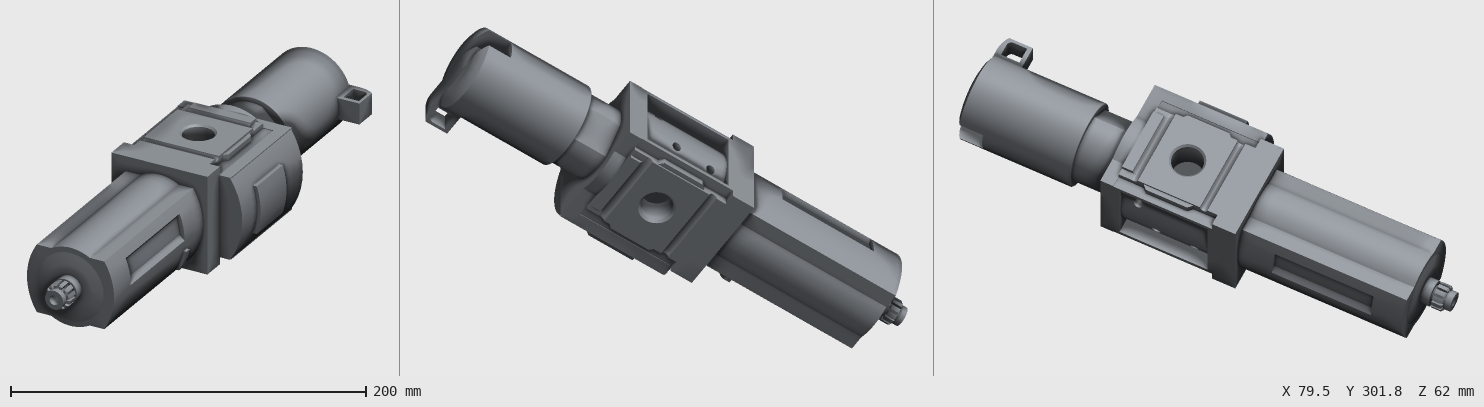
import cadquery as cq
import math


HOUSING_SIDE = 62.0
HALF_SIDE = HOUSING_SIDE / 2
OVERALL_WIDTH = 79.5
COLLAR_LENGTH = 14.5
CORE_HALF_HEIGHT = 26.0
CORE_RIGHT = 38.3
LEDGE_DEPTH = 0.45
HOUSING_END = 84.8
CAP_LENGTH = 8.0
CAP_RADIUS = 30.2
CAP_START = HOUSING_END - CAP_LENGTH

PLATE_HALF_WIDTH = 24.0
GROOVE_DEPTH = 2.5
GROOVES = [(64.5, 70.0), (20.8, 25.7)]
TONGUE_HALF_WIDTH = 20.0
CORNER_DROP = 2.25
TAB_REACH = 2.7
TAB_DROP = 1.2
TAB_LENGTH = 31.5
PORT_Y = 45.3
PORT_DIAMETER = 18.7
PORT_CHAMFER = 1.2
PORT_DEPTH = 18.0

RECESS_START = 17.5
RECESS_END = 72.7
RECESS_HALF_HEIGHT = 23.0
RECESS_CROWN = 1.5
RECESS_FLOOR_RADIUS = 32.3
RECESS_HOLE_DIAMETER = 5.5
RECESS_HOLE_DEPTH = 9.0
RECESS_HOLES = [(62.8, 11.5), (51.0, -8.8), (27.5, -11.2)]

COVER_RADIUS = 46.0
COVER_START = 13.5
COVER_END = 84.0
BUTTON_RADIUS = OVERALL_WIDTH - HALF_SIDE
BUTTON_LENGTH = 30.2
BUTTON_HALF_HEIGHT = 15.0

NECK_DIAMETER = 44.5
NECK_ACROSS_FLATS = 39.5
KNOB_START = 107.2
KNOB_END = 179.5
KNOB_DIAMETER = 51.0
KNOB_LIP_FILLET = 0.5
DOME_HEIGHT = 3.0
DOME_RUN = 9.7

SLOT_WIDTH = 15.0
SLIDE_WIDTH = 13.3
SLIDE_START = 161.8
SLIDE_TRAVEL = 13.5
EYE_SIDE_WALL = 1.8
EYE_BASE_WALL = 2.7
EYE_TOP_WALL = 3.5
EYE_FILLET = 3.0

BOWL_LENGTH = 103.2
BOWL_ROUND_RADIUS = 24.8
BOWL_FLAT_HEIGHT = 21.5
BOWL_CORNER_X = 21.7
BOWL_HALF_WIDTH = 28.0
BOWL_END_RADIUS = 21.5
BOWL_BOSS_RADIUS = 11.5
BOWL_CROWN_HEIGHT = 1.2
BOWL_CROWN_BULGE = 1.05
WINDOW_START = 21.5
WINDOW_END = 84.0
WINDOW_TOP = 16.0
WINDOW_BOTTOM = -0.5
WINDOW_TAPER = 3.0
WINDOW_DEPTH = 3.0
WINDOW_FLOOR_TOP_X = 23.0
LATCH_START = 17.8
LATCH_END = 21.5
LATCH_TOP = -7.2
LATCH_BOTTOM = -20.2
LATCH_HEIGHT = 2.0

NOZZLE_END = -122.3
NOZZLE_BORE_DIAMETER = 6.0
NOZZLE_BORE_DEPTH = 9.0
NOZZLE_RADIUS = 7.8
NOZZLE_NECK_RADIUS = 5.5
NOZZLE_TIP_RADIUS = 11.8 / 2
NOZZLE_SHANK_END = -110.0
NOZZLE_RING_START = -111.5
NOZZLE_RING_END = -118.0
NOZZLE_TIP_START = -119.0
NOZZLE_RING_CHAMFER = 1.0
NOZZLE_SLOTS = 12
NOZZLE_SLOT_WIDTH = 1.5


def block(x_range, y_range, z_range):
    """Box between the given limits along X, Y and Z."""
    low, high = zip(x_range, y_range, z_range)
    size = [b - a for a, b in zip(low, high)]
    return cq.Workplane("XY").box(*size, centered=False).translate(low)


def section(y):
    """Workplane across the axis at y; local coordinates are X and Z, extruding toward -Y."""
    return cq.Workplane("XZ", origin=(0, y, 0))


def rod(radius, y_start, y_end):
    """Round rod about the Y axis."""
    return section(y_end).circle(radius).extrude(y_end - y_start)


def mirrored_below(shape):
    """Mirror image of a shape on the -Z side."""
    return shape.mirror("XY")


def side_ledge():
    """Thin layer removed from the +Z side of the core around the port plate."""
    return block(
        (-HALF_SIDE, HALF_SIDE),
        (COLLAR_LENGTH, CAP_START),
        (CORE_HALF_HEIGHT - LEDGE_DEPTH, CORE_HALF_HEIGHT),
    )


def port_plate():
    """Raised plate on the +Z side with two grooves, a tongue and side tabs."""
    plate = block(
        (-PLATE_HALF_WIDTH, PLATE_HALF_WIDTH),
        (COLLAR_LENGTH, CAP_START),
        (CORE_HALF_HEIGHT - LEDGE_DEPTH, HALF_SIDE),
    )
    for corner_x in (-PLATE_HALF_WIDTH, TONGUE_HALF_WIDTH):
        plate = plate.cut(block(
            (corner_x, corner_x + PLATE_HALF_WIDTH - TONGUE_HALF_WIDTH),
            (sum(GROOVES[0]) / 2, CAP_START),
            (HALF_SIDE - CORNER_DROP, HALF_SIDE),
        ))
    for low, high in GROOVES:
        groove = (
            cq.Workplane("YZ", origin=(-PLATE_HALF_WIDTH, 0, 0))
            .moveTo(low, HALF_SIDE)
            .threePointArc(((low + high) / 2, HALF_SIDE - GROOVE_DEPTH), (high, HALF_SIDE))
            .close()
            .extrude(2 * PLATE_HALF_WIDTH)
        )
        plate = plate.cut(groove)
    tab_width = 2 * (PLATE_HALF_WIDTH + TAB_REACH)
    tabs = (
        cq.Workplane("XY", origin=(0, PORT_Y, HALF_SIDE - TAB_DROP))
        .rect(tab_width, TAB_LENGTH)
        .extrude(CORE_HALF_HEIGHT - LEDGE_DEPTH - HALF_SIDE + TAB_DROP)
        .edges("|Z")
        .chamfer(TAB_REACH)
    )
    return plate.union(tabs)


def port():
    """Blind port with a chamfered mouth, opening on the +Z side."""
    return (
        cq.Workplane("XY", origin=(0, PORT_Y, HALF_SIDE - PORT_DEPTH))
        .circle(PORT_DIAMETER / 2)
        .extrude(PORT_DEPTH)
        .union(
            cq.Workplane("XY", origin=(0, PORT_Y, HALF_SIDE))
            .circle(PORT_DIAMETER / 2 + PORT_CHAMFER)
            .workplane(offset=-PORT_CHAMFER)
            .circle(PORT_DIAMETER / 2)
            .loft()
        )
    )


def side_recess():
    """Recess in the -X side with a crowned floor and three blind holes."""
    opening = block(
        (-HALF_SIDE, 0),
        (RECESS_START, RECESS_END),
        (-RECESS_HALF_HEIGHT, RECESS_HALF_HEIGHT),
    )
    crown_x = -HALF_SIDE + RECESS_CROWN
    crown = (
        section(RECESS_END)
        .center(crown_x + RECESS_FLOOR_RADIUS, 0)
        .circle(RECESS_FLOOR_RADIUS)
        .extrude(RECESS_END - RECESS_START)
    )
    recess = opening.cut(crown)
    for y, z in RECESS_HOLES:
        hole = (
            cq.Workplane("YZ", origin=(-HALF_SIDE, y, z))
            .circle(RECESS_HOLE_DIAMETER / 2)
            .extrude(RECESS_HOLE_DEPTH)
        )
        recess = recess.union(hole)
    return recess


def cover_shell(radius, half_height, y_start, y_end):
    """Slab on the +X side whose outer face is rounded about the axis."""
    slab = block((0, radius), (y_start, y_end), (-half_height, half_height))
    return slab.intersect(rod(radius, y_start, y_end))


def housing():
    core = block(
        (-HALF_SIDE, CORE_RIGHT),
        (COLLAR_LENGTH, HOUSING_END),
        (-CORE_HALF_HEIGHT, CORE_HALF_HEIGHT),
    )
    collar = section(COLLAR_LENGTH).rect(HOUSING_SIDE, HOUSING_SIDE).extrude(COLLAR_LENGTH)
    cover = cover_shell(COVER_RADIUS, CORE_HALF_HEIGHT, COVER_START, COVER_END)
    button = cover_shell(
        BUTTON_RADIUS,
        BUTTON_HALF_HEIGHT,
        PORT_Y - BUTTON_LENGTH / 2,
        PORT_Y + BUTTON_LENGTH / 2,
    )
    solid = core.union(collar).union(cover).union(button)
    solid = solid.union(rod(CAP_RADIUS, CAP_START, HOUSING_END))
    for ledge in (side_ledge(), mirrored_below(side_ledge())):
        solid = solid.cut(ledge)
    for feature in (port_plate(), mirrored_below(port_plate())):
        solid = solid.union(feature)
    for feature in (port(), mirrored_below(port()), side_recess()):
        solid = solid.cut(feature)
    return solid


def neck():
    """Round neck with two parallel flats at 45 degrees."""
    length = KNOB_START - HOUSING_END
    flats = (
        section(KNOB_START)
        .rect(NECK_ACROSS_FLATS, NECK_DIAMETER)
        .extrude(length)
        .rotate((0, 0, 0), (0, 1, 0), -45)
    )
    return rod(NECK_DIAMETER / 2, HOUSING_END, KNOB_START).intersect(flats)


def domed_half_profile(bottom):
    """Half outline of the knob, from the axis out to the rim with a rounded shoulder."""
    radius = KNOB_DIAMETER / 2
    dome_radius = (DOME_RUN ** 2 + DOME_HEIGHT ** 2) / (2 * DOME_HEIGHT)
    half_angle = math.asin(DOME_RUN / dome_radius) / 2
    dome_start = radius - DOME_RUN
    middle = (
        dome_start + dome_radius * math.sin(half_angle),
        KNOB_END - dome_radius * (1 - math.cos(half_angle)),
    )
    return (
        cq.Workplane("XY")
        .moveTo(0, bottom)
        .lineTo(radius, bottom)
        .lineTo(radius, KNOB_END - DOME_HEIGHT)
        .threePointArc(middle, (dome_start, KNOB_END))
        .lineTo(0, KNOB_END)
        .close()
    )


def slide_blank():
    """Slide before the eye is cut: the knob outline as a flat bar, shifted to +X."""
    half = domed_half_profile(SLIDE_START).extrude(SLIDE_WIDTH / 2, both=True)
    return half.union(half.mirror("YZ")).translate((SLIDE_TRAVEL, 0, 0))


def knob():
    """Domed knob with a slot across its end for the lock slide."""
    solid = domed_half_profile(KNOB_START).revolve(360, (0, 0, 0), (0, 1, 0))
    solid = solid.faces("<Y").edges().fillet(KNOB_LIP_FILLET)
    slot = block(
        (-KNOB_DIAMETER, KNOB_DIAMETER),
        (SLIDE_START, KNOB_END),
        (-SLOT_WIDTH / 2, SLOT_WIDTH / 2),
    )
    return solid.cut(slot)


def lock_slide():
    """Bar in the knob slot, with a padlock eye at its +X end."""
    knob_radius = KNOB_DIAMETER / 2
    eye = block(
        (knob_radius + EYE_SIDE_WALL, knob_radius + SLIDE_TRAVEL - EYE_SIDE_WALL),
        (SLIDE_START + EYE_BASE_WALL, KNOB_END - EYE_TOP_WALL),
        (-SLIDE_WIDTH, SLIDE_WIDTH),
    )
    eye = eye.edges("|Z and >X and >Y").fillet(EYE_FILLET)
    return slide_blank().cut(eye)


def bowl_body():
    """Bowl section: round top and bottom, flat shoulders and bulged sides."""
    sides = (
        section(0)
        .moveTo(-BOWL_CORNER_X, BOWL_FLAT_HEIGHT)
        .lineTo(BOWL_CORNER_X, BOWL_FLAT_HEIGHT)
        .threePointArc((BOWL_HALF_WIDTH, 0), (BOWL_CORNER_X, -BOWL_FLAT_HEIGHT))
        .lineTo(-BOWL_CORNER_X, -BOWL_FLAT_HEIGHT)
        .threePointArc((-BOWL_HALF_WIDTH, 0), (-BOWL_CORNER_X, BOWL_FLAT_HEIGHT))
        .close()
        .extrude(BOWL_LENGTH)
    )
    return sides.union(rod(BOWL_ROUND_RADIUS, -BOWL_LENGTH, 0))


def bowl_window():
    """Sight window in the -X side, with sloping long walls."""
    outer = -BOWL_HALF_WIDTH
    return (
        section(-WINDOW_START)
        .moveTo(outer, WINDOW_BOTTOM)
        .lineTo(outer + WINDOW_DEPTH, WINDOW_BOTTOM + WINDOW_TAPER)
        .lineTo(-WINDOW_FLOOR_TOP_X, WINDOW_TOP - WINDOW_TAPER)
        .lineTo(outer + WINDOW_DEPTH, WINDOW_TOP)
        .lineTo(outer, WINDOW_TOP)
        .close()
        .extrude(WINDOW_END - WINDOW_START)
    )


def nozzle():
    """Drain nozzle: stepped round profile with a slotted ring and a bore."""
    solid = (
        cq.Workplane("XY")
        .moveTo(0, -BOWL_LENGTH)
        .lineTo(NOZZLE_RADIUS, -BOWL_LENGTH)
        .lineTo(NOZZLE_RADIUS, NOZZLE_SHANK_END)
        .lineTo(NOZZLE_NECK_RADIUS, NOZZLE_SHANK_END)
        .lineTo(NOZZLE_NECK_RADIUS, NOZZLE_RING_START)
        .lineTo(NOZZLE_RADIUS, NOZZLE_RING_START)
        .lineTo(NOZZLE_RADIUS, NOZZLE_RING_END + NOZZLE_RING_CHAMFER)
        .lineTo(NOZZLE_RADIUS - NOZZLE_RING_CHAMFER, NOZZLE_RING_END)
        .lineTo(NOZZLE_NECK_RADIUS, NOZZLE_RING_END)
        .lineTo(NOZZLE_NECK_RADIUS, NOZZLE_TIP_START)
        .lineTo(NOZZLE_TIP_RADIUS, NOZZLE_TIP_START)
        .lineTo(NOZZLE_TIP_RADIUS, NOZZLE_END)
        .lineTo(0, NOZZLE_END)
        .close()
        .revolve(360, (0, 0, 0), (0, 1, 0))
    )
    slot = block(
        (NOZZLE_NECK_RADIUS, 2 * NOZZLE_RADIUS),
        (NOZZLE_RING_END, NOZZLE_RING_START),
        (-NOZZLE_SLOT_WIDTH / 2, NOZZLE_SLOT_WIDTH / 2),
    )
    for i in range(NOZZLE_SLOTS):
        solid = solid.cut(slot.rotate((0, 0, 0), (0, 1, 0), i * 360 / NOZZLE_SLOTS))
    bore = rod(NOZZLE_BORE_DIAMETER / 2, NOZZLE_END, NOZZLE_END + NOZZLE_BORE_DEPTH)
    return solid.cut(bore)


def latch():
    """Low latch on the +X side of the bowl, above its window."""
    zone = block((0, HALF_SIDE), (-LATCH_END, -LATCH_START), (LATCH_BOTTOM, LATCH_TOP))
    raised = bowl_body().translate((LATCH_HEIGHT, 0, 0))
    return zone.intersect(raised)


def bowl():
    crown_middle = ((BOWL_END_RADIUS + BOWL_BOSS_RADIUS) / 2, -BOWL_LENGTH - BOWL_CROWN_BULGE)
    end_crown = (
        cq.Workplane("XY")
        .moveTo(0, -BOWL_LENGTH)
        .lineTo(BOWL_END_RADIUS, -BOWL_LENGTH)
        .threePointArc(crown_middle, (BOWL_BOSS_RADIUS, -BOWL_LENGTH - BOWL_CROWN_HEIGHT))
        .lineTo(0, -BOWL_LENGTH - BOWL_CROWN_HEIGHT)
        .close()
        .revolve(360, (0, 0, 0), (0, 1, 0))
    )
    window = bowl_window()
    solid = bowl_body().cut(window).cut(window.mirror("YZ"))
    return solid.union(latch()).union(end_crown).union(nozzle())


regulator = housing().union(neck()).union(knob()).union(bowl())
slide = lock_slide()

result = cq.Compound.makeCompound([regulator.val(), slide.val()])